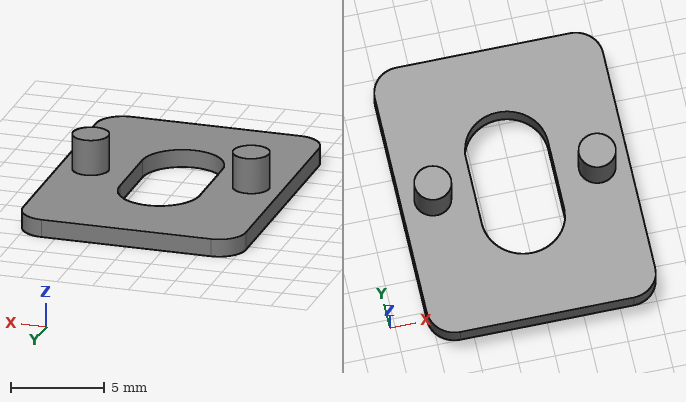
import cadquery as cq

plate_width = 12.5
plate_length = 16.0
plate_thickness = 1.0
corner_radius = 1.5

slot_width = 4.5
slot_length = 8.5

pin_diameter = 2.0
pin_height = 2.0
pin_spacing = 9.0


def make_plate():
    """Rectangular plate with rounded vertical corners."""
    blank = cq.Workplane("XY").box(
        plate_width, plate_length, plate_thickness, centered=(True, True, False)
    )
    return blank.edges("|Z").fillet(corner_radius)


def make_slot():
    """Solid that cuts the slot through the full plate thickness."""
    return cq.Workplane("XY").slot2D(slot_length, slot_width, angle=90).extrude(plate_thickness)


def make_pins():
    """Pair of pins, rooted at the plate underside so that they fuse with the plate."""
    pin_centres = [(side * pin_spacing / 2, 0) for side in (-1, 1)]
    return (
        cq.Workplane("XY")
        .pushPoints(pin_centres)
        .circle(pin_diameter / 2)
        .extrude(plate_thickness + pin_height)
    )


result = make_plate().cut(make_slot()).union(make_pins())